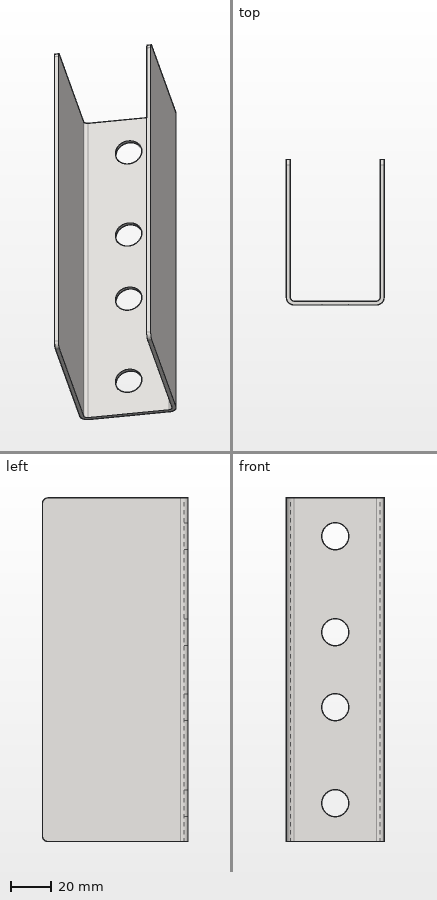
import cadquery as cq

width = 49.0
depth = 73.0
height = 172.0

sheet = 2.0
outer_bend = 4.0
inner_bend = outer_bend - sheet
flange_corner = 3.0

hole_diameter = 13.5
inner_hole_offset = 18.7
outer_hole_offset = 66.7


def upright_block(size_x, front_y, bend_radius):
    """Full-height block from front_y to the flange ends, its front corners rounded."""
    size_y = depth / 2 - front_y
    block = cq.Workplane("XY").box(size_x, size_y, height)
    block = block.edges("|Z and <Y").fillet(bend_radius)
    return block.translate((0, front_y + size_y / 2, 0))


def bent_channel():
    outside = upright_block(width, -depth / 2, outer_bend)
    inside = upright_block(width - 2 * sheet, -depth / 2 + sheet, inner_bend)
    return outside.cut(inside)


def web_holes():
    offsets = (-outer_hole_offset, -inner_hole_offset, inner_hole_offset, outer_hole_offset)
    return (
        cq.Workplane("XZ", origin=(0, -depth / 2 + sheet, 0))
        .pushPoints([(0, z) for z in offsets])
        .circle(hole_diameter / 2)
        .extrude(sheet)
    )


channel = bent_channel().faces(">Y").edges("|X").fillet(flange_corner)
result = channel.cut(web_holes())